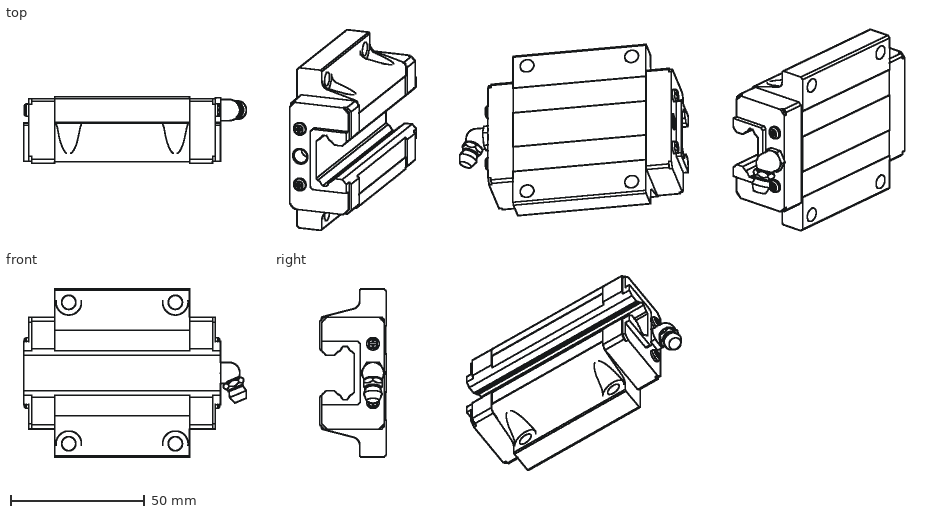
import cadquery as cq
import math


OVERALL_LENGTH = 83.6

BLOCK_LENGTH = 50.7
BLOCK_WIDTH = 63.0
BLOCK_DEPTH = 24.4
FLANGE_THICKNESS = 10.0
FLANGE_TOP_CHAMFER = 0.8
FLANGE_UNDER_CHAMFER = 0.5
SKIRT_HALF_WIDTH = 21.0
SKIRT_TILT = 14.5
FLANGE_ROOT_RADIUS = 3.0
SKIRT_TOE_RADIUS = 1.0

TOP_GROOVE_DEPTH = 0.25
TOP_GROOVE_INNER = 7.2
TOP_GROOVE_OUTER = 17.6
SOLE_STEP_HALF_WIDTH = 16.0
SOLE_STEP_DEPTH = 0.2

HOLE_PITCH_X = 40.0
HOLE_PITCH_Z = 53.0
FLANGE_HOLE_DIAMETER = 5.2
SPOTFACE_DIAMETER = 9.5

CAP_THICKNESS = 8.6
PLATE_THICKNESS = 1.1
SEAL_THICKNESS = 1.9
CAP_END_X = BLOCK_LENGTH / 2 + CAP_THICKNESS
PLATE_END_X = CAP_END_X + PLATE_THICKNESS
SEAL_END_X = PLATE_END_X + SEAL_THICKNESS
END_HALF_WIDTH = 21.0
END_TOP_Y = -0.75
CAP_BOTTOM_Y = -25.0
PLATE_BOTTOM_Y = -24.25
CAP_TOP_CHAMFER = 1.0
CAP_BOTTOM_CHAMFER = 1.6
PLATE_CHAMFER = 2.0
SEAL_HALF_WIDTH = 11.9
SEAL_TOP_Y = -9.8
SEAL_CHAMFER = 0.9

CHANNEL_FLOOR_Y = -12.1
CHANNEL_FLOOR_HALF_WIDTH = 7.3
RACE_CENTRE_Y = -15.5
RACE_BOTTOM_HALF_WIDTH = 9.95
RACE_BOTTOM_REACH = 0.75
RACE_STRIP_HALF_WIDTH = 9.2
RACE_STRIP_REACH = 1.3
RACE_ARC_MIDDLE_HALF_WIDTH = 8.4
RACE_ARC_MIDDLE_REACH = 1.9
RACE_EDGE_HALF_WIDTH = 7.95
RACE_EDGE_REACH = 2.7
LIP_HALF_WIDTH = 6.6
LIP_TOP_Y = -19.6
LIP_BOTTOM_Y = -22.6
MOUTH_OVERCUT = 3.35

PORT_Y = -5.0
PORT_DIAMETER = 5.2
PORT_MOUTH_DIAMETER = 6.0
PORT_DEPTH = 8.0
DRILL_POINT_ANGLE = 118.0

SCREW_PITCH = 21.9
SCREW_HEAD_RADIUS = 2.3
SCREW_RIM_HEIGHT = 0.8
SCREW_HEAD_HEIGHT = 1.6
SCREW_CROWN_RADIUS = 1.7
SCREW_BULGE_RADIUS = 2.1
SCREW_BULGE_HEIGHT = 1.25
CROSS_SPAN = 2.85
CROSS_ARM_WIDTH = 0.7
CROSS_DEPTH = 0.75

BASE_HEX_FLATS = 8.0
BASE_HEX_HEIGHT = 2.0
ELBOW_RADIUS = 4.0
OUTLET_TILT = 22.5
OUTLET_HEX_FLATS = 7.0
OUTLET_HEX_START = 3.1
OUTLET_HEX_END = 5.85
OUTLET_HEX_START_CHAMFER = 0.75
OUTLET_HEX_END_CHAMFER = 1.3
STEM_RADIUS = 3.0
STEM_END = 6.35
COLLAR_START_RADIUS = 2.8
COLLAR_MIDDLE_RADIUS = 3.1
COLLAR_MIDDLE = 7.3
COLLAR_RADIUS = 3.4
COLLAR_END = 8.5
TIP_RADIUS = 2.3
TIP_END = 11.2
TIP_REACH_X = (
    TIP_END * math.sin(math.radians(OUTLET_TILT))
    + TIP_RADIUS * math.cos(math.radians(OUTLET_TILT))
)
ELBOW_CENTRE_X = OVERALL_LENGTH - SEAL_END_X - TIP_REACH_X

HEX_CORNER_RATIO = 1 / math.cos(math.radians(30))


def mirrored(half):
    """Complete a half outline of (y, z) points by reflecting it about Z = 0."""
    return half + [(y, -z) for y, z in reversed(half)]


def slab(outline, start_x, end_x):
    """Extrude a closed (y, z) outline between two X positions."""
    plane = cq.Workplane("YZ", origin=(start_x, 0, 0))
    return plane.polyline(outline).close().extrude(end_x - start_x)


def both_ends(solid):
    """Join a solid at the +X end with its mirror image at the -X end."""
    return solid.union(solid.mirror("YZ"))


def make_block():
    half_length = BLOCK_LENGTH / 2
    half_width = BLOCK_WIDTH / 2
    skirt_height = BLOCK_DEPTH - FLANGE_THICKNESS
    root_half_width = SKIRT_HALF_WIDTH + skirt_height * math.tan(math.radians(SKIRT_TILT))
    half_outline = [
        (0, TOP_GROOVE_INNER),
        (-TOP_GROOVE_DEPTH, TOP_GROOVE_INNER),
        (-TOP_GROOVE_DEPTH, TOP_GROOVE_OUTER),
        (0, TOP_GROOVE_OUTER),
        (0, half_width - FLANGE_TOP_CHAMFER),
        (-FLANGE_TOP_CHAMFER, half_width),
        (-FLANGE_THICKNESS + FLANGE_UNDER_CHAMFER, half_width),
        (-FLANGE_THICKNESS, half_width - FLANGE_UNDER_CHAMFER),
        (-FLANGE_THICKNESS, root_half_width),
        (-BLOCK_DEPTH, SKIRT_HALF_WIDTH),
        (-BLOCK_DEPTH, SOLE_STEP_HALF_WIDTH),
        (-BLOCK_DEPTH + SOLE_STEP_DEPTH, SOLE_STEP_HALF_WIDTH),
    ]
    block = slab(mirrored(half_outline), -half_length, half_length)
    for side in (1, -1):
        root = (0, -FLANGE_THICKNESS, side * root_half_width)
        toe = (0, -BLOCK_DEPTH, side * SKIRT_HALF_WIDTH)
        block = block.edges(cq.NearestToPointSelector(root)).fillet(FLANGE_ROOT_RADIUS)
        block = block.edges(cq.NearestToPointSelector(toe)).fillet(SKIRT_TOE_RADIUS)
    return block


def flange_hole_cutter(diameter, start_depth, end_depth):
    """Four parallel cylinders running along -Y at the flange hole positions."""
    plane = cq.Workplane(cq.Plane((0, -start_depth, 0), (1, 0, 0), (0, -1, 0)))
    return (
        plane.rarray(HOLE_PITCH_X, HOLE_PITCH_Z, 2, 2)
        .circle(diameter / 2)
        .extrude(end_depth - start_depth)
    )


def end_outline(bottom_y, top_chamfer, bottom_chamfer):
    """Rectangular end outline with chamfered corners."""
    return mirrored([
        (END_TOP_Y, END_HALF_WIDTH - top_chamfer),
        (END_TOP_Y - top_chamfer, END_HALF_WIDTH),
        (bottom_y + bottom_chamfer, END_HALF_WIDTH),
        (bottom_y, END_HALF_WIDTH - bottom_chamfer),
    ])


def make_ends():
    """Cap, cover plate and raised seal at both ends."""
    cap_outline = end_outline(CAP_BOTTOM_Y, CAP_TOP_CHAMFER, CAP_BOTTOM_CHAMFER)
    plate_outline = end_outline(PLATE_BOTTOM_Y, PLATE_CHAMFER, PLATE_CHAMFER)
    seal_outline = mirrored([
        (SEAL_TOP_Y, SEAL_HALF_WIDTH - SEAL_CHAMFER),
        (SEAL_TOP_Y - SEAL_CHAMFER, SEAL_HALF_WIDTH),
        (PLATE_BOTTOM_Y, SEAL_HALF_WIDTH),
    ])
    cap = slab(cap_outline, BLOCK_LENGTH / 2, CAP_END_X)
    plate = slab(plate_outline, CAP_END_X, PLATE_END_X)
    seal = slab(seal_outline, PLATE_END_X, SEAL_END_X)
    return both_ends(cap.union(plate).union(seal))


def make_channel_cutter():
    """Rail channel with a ball race in each wall, widening towards its mouth."""

    def race_point(reach, half_width):
        """Point on a race wall, at a distance along Y from the race centre line."""
        return (RACE_CENTRE_Y + reach, half_width)

    mouth_y = LIP_BOTTOM_Y - MOUTH_OVERCUT
    half_channel = (
        cq.Workplane("YZ", origin=(-SEAL_END_X, 0, 0))
        .moveTo(CHANNEL_FLOOR_Y, 0)
        .lineTo(CHANNEL_FLOOR_Y, CHANNEL_FLOOR_HALF_WIDTH)
        .lineTo(*race_point(RACE_EDGE_REACH, RACE_EDGE_HALF_WIDTH))
        .threePointArc(
            race_point(RACE_ARC_MIDDLE_REACH, RACE_ARC_MIDDLE_HALF_WIDTH),
            race_point(RACE_STRIP_REACH, RACE_STRIP_HALF_WIDTH),
        )
        .lineTo(*race_point(RACE_BOTTOM_REACH, RACE_BOTTOM_HALF_WIDTH))
        .lineTo(*race_point(-RACE_BOTTOM_REACH, RACE_BOTTOM_HALF_WIDTH))
        .lineTo(*race_point(-RACE_STRIP_REACH, RACE_STRIP_HALF_WIDTH))
        .threePointArc(
            race_point(-RACE_ARC_MIDDLE_REACH, RACE_ARC_MIDDLE_HALF_WIDTH),
            race_point(-RACE_EDGE_REACH, RACE_EDGE_HALF_WIDTH),
        )
        .lineTo(LIP_TOP_Y, LIP_HALF_WIDTH)
        .lineTo(LIP_BOTTOM_Y, LIP_HALF_WIDTH)
        .lineTo(mouth_y, LIP_HALF_WIDTH + MOUTH_OVERCUT)
        .lineTo(mouth_y, 0)
        .close()
        .extrude(2 * SEAL_END_X)
    )
    return half_channel.union(half_channel.mirror("XY")).clean()


def make_port_cutter():
    """Grease port in the -X end: countersunk mouth, bore and drill point."""
    radius = PORT_DIAMETER / 2
    mouth_radius = PORT_MOUTH_DIAMETER / 2
    point_depth = PORT_DEPTH + radius / math.tan(math.radians(DRILL_POINT_ANGLE / 2))
    return (
        cq.Workplane("XY", origin=(-PLATE_END_X, PORT_Y, 0))
        .polyline([
            (0, 0),
            (0, mouth_radius),
            (mouth_radius - radius, radius),
            (PORT_DEPTH, radius),
            (point_depth, 0),
        ])
        .close()
        .revolve(360, (0, 0, 0), (1, 0, 0))
    )


def make_carriage():
    block = make_block()
    block = block.cut(flange_hole_cutter(SPOTFACE_DIAMETER, FLANGE_THICKNESS, BLOCK_DEPTH))
    block = block.cut(flange_hole_cutter(FLANGE_HOLE_DIAMETER, 0, FLANGE_THICKNESS))
    carriage = block.union(make_ends())
    carriage = carriage.cut(make_channel_cutter())
    return carriage.cut(make_port_cutter())


def make_screw(end, z):
    """Domed screw head with a cross recess, seated on the +X (end = 1) or -X (end = -1) plate."""
    plane = cq.Plane((end * PLATE_END_X, PORT_Y, z), (0, 1, 0), (end, 0, 0))
    profile_plane = cq.Plane(plane.origin, plane.xDir, plane.xDir.cross(plane.zDir))
    head = (
        cq.Workplane(profile_plane)
        .lineTo(SCREW_HEAD_RADIUS, 0)
        .lineTo(SCREW_HEAD_RADIUS, SCREW_RIM_HEIGHT)
        .threePointArc(
            (SCREW_BULGE_RADIUS, SCREW_BULGE_HEIGHT),
            (SCREW_CROWN_RADIUS, SCREW_HEAD_HEIGHT),
        )
        .lineTo(0, SCREW_HEAD_HEIGHT)
        .close()
        .revolve(360, (0, 0, 0), (0, 1, 0))
    )
    recess_floor = cq.Workplane(plane).workplane(offset=SCREW_HEAD_HEIGHT - CROSS_DEPTH)
    for width, height in ((CROSS_SPAN, CROSS_ARM_WIDTH), (CROSS_ARM_WIDTH, CROSS_SPAN)):
        head = head.cut(recess_floor.rect(width, height).extrude(CROSS_DEPTH))
    return head


def make_elbow():
    """Hexagonal base and round-ended body, running along +X from the end plate."""
    base = cq.Workplane("YZ", origin=(PLATE_END_X, PORT_Y, 0))
    hexagon = base.polygon(6, BASE_HEX_FLATS * HEX_CORNER_RATIO).extrude(BASE_HEX_HEIGHT)
    barrel = base.circle(ELBOW_RADIUS).extrude(ELBOW_CENTRE_X - PLATE_END_X)
    ball = cq.Workplane("XY", origin=(ELBOW_CENTRE_X, PORT_Y, 0)).sphere(ELBOW_RADIUS)
    return hexagon.union(barrel).union(ball)


def make_outlet():
    """Turned outlet with a chamfered hexagon, pointing from the elbow towards -Z and +X."""
    tilt = math.radians(OUTLET_TILT)
    axis = cq.Vector(math.sin(tilt), 0, -math.cos(tilt))
    across = cq.Vector(math.cos(tilt), 0, math.sin(tilt))
    centre = cq.Vector(ELBOW_CENTRE_X, PORT_Y, 0)
    profile = cq.Workplane(cq.Plane(centre, across, across.cross(axis)))

    stem = (
        profile.polyline([
            (0, 0),
            (STEM_RADIUS, 0),
            (STEM_RADIUS, STEM_END),
            (COLLAR_START_RADIUS, STEM_END),
            (COLLAR_MIDDLE_RADIUS, COLLAR_MIDDLE),
            (COLLAR_RADIUS, COLLAR_END),
            (TIP_RADIUS, TIP_END),
            (0, TIP_END),
        ])
        .close()
        .revolve(360, (0, 0, 0), (0, 1, 0))
    )

    flat_radius = OUTLET_HEX_FLATS / 2
    corner_radius = flat_radius * HEX_CORNER_RATIO
    hexagon = (
        cq.Workplane(cq.Plane(centre, across, axis))
        .workplane(offset=OUTLET_HEX_START)
        .polygon(6, 2 * corner_radius)
        .extrude(OUTLET_HEX_END - OUTLET_HEX_START)
    )
    chamfer_envelope = (
        profile.polyline([
            (0, OUTLET_HEX_START),
            (flat_radius, OUTLET_HEX_START),
            (corner_radius, OUTLET_HEX_START + OUTLET_HEX_START_CHAMFER),
            (corner_radius, OUTLET_HEX_END - OUTLET_HEX_END_CHAMFER),
            (STEM_RADIUS, OUTLET_HEX_END),
            (0, OUTLET_HEX_END),
        ])
        .close()
        .revolve(360, (0, 0, 0), (0, 1, 0))
    )
    return stem.union(hexagon.intersect(chamfer_envelope))


def make_nipple():
    return make_elbow().union(make_outlet())


carriage = make_carriage()
nipple = make_nipple()
screws = []
for end in (1, -1):
    for side in (1, -1):
        screws.append(make_screw(end, side * SCREW_PITCH / 2))

result = cq.Compound.makeCompound([
    carriage.val(),
    nipple.val(),
    *[screw.val() for screw in screws],
])